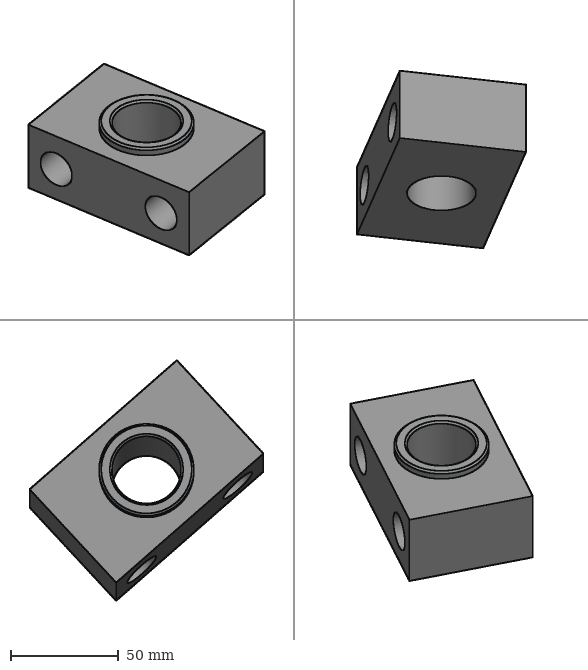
import cadquery as cq

length = 92.0
width = 60.0
total_height = 40.0
collar_height = 4.0
block_height = total_height - collar_height

collar_diameter = 44.0
bore_diameter = 32.0
edge_chamfer = 1.0

side_hole_diameter = 18.0
side_hole_spacing = 60.0
side_hole_height = 17.4


def make_block():
    return cq.Workplane("XY").box(length, width, block_height, centered=(True, True, False))


def make_collar():
    collar = cq.Workplane("XY").circle(collar_diameter / 2).extrude(total_height)
    return collar.faces(">Z").chamfer(edge_chamfer)


def make_bore():
    """Vertical through bore with a chamfered mouth at the top of the collar."""
    radius = bore_diameter / 2
    mouth_radius = radius + edge_chamfer
    half_profile = [
        (0, 0),
        (radius, 0),
        (radius, total_height - edge_chamfer),
        (mouth_radius, total_height),
        (0, total_height),
    ]
    return cq.Workplane("XZ").polyline(half_profile).close().revolve(360, (0, 0, 0), (0, 1, 0))


def make_side_holes():
    half_spacing = side_hole_spacing / 2
    centers = [(side * half_spacing, side_hole_height) for side in (-1, 1)]
    holes = cq.Workplane("XZ").pushPoints(centers).circle(side_hole_diameter / 2)
    return holes.extrude(width / 2, both=True)


result = make_block().union(make_collar()).cut(make_bore()).cut(make_side_holes())